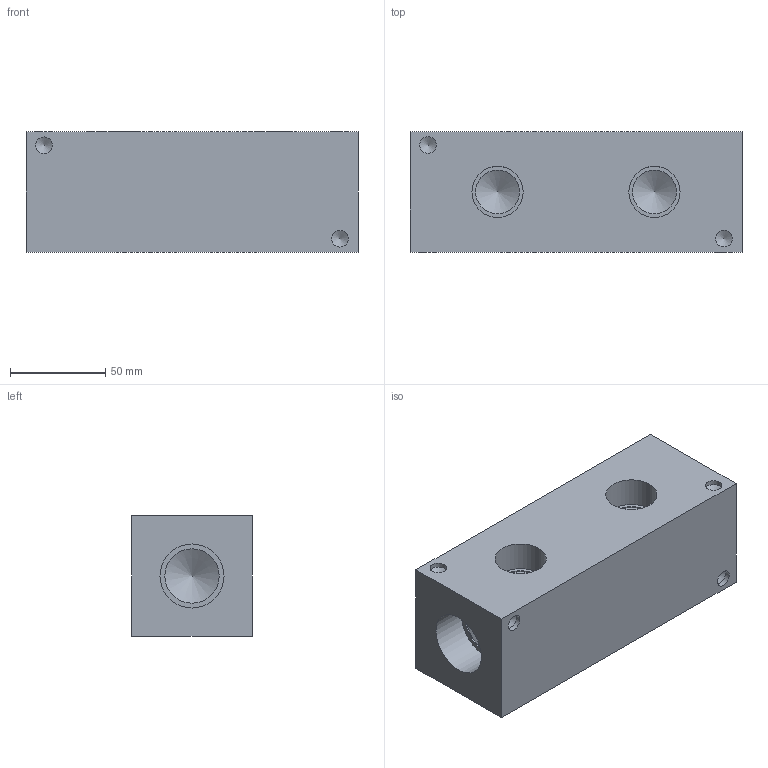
import cadquery as cq
import math

LENGTH = 174.62
WIDTH = 63.5
HEIGHT = 63.5

PORT_SPACING = 82.55
TOP_BORE_DIAMETER = 26.92
TOP_BORE_DEPTH = 15.875
TOP_DRILL_DIAMETER = 23.01
TOP_DRILL_DEPTH = 16.5
END_BORE_DIAMETER = 33.71
END_BORE_DEPTH = 19.05
END_DRILL_DIAMETER = 28.57
END_DRILL_DEPTH = 19.8

MOUNT_DIAMETER = 8.74
MOUNT_DEPTH = 2.54
MOUNT_END_OFFSET = 9.525
MOUNT_EDGE_OFFSET = 7.14

DRILL_POINT_ANGLE = 120.0

X_AXIS = cq.Vector(1, 0, 0)
Y_AXIS = cq.Vector(0, 1, 0)
DOWN = cq.Vector(0, 0, -1)


def drilled_hole(center, direction, diameter, depth):
    """Cylinder with a conical drill point; depth is measured to the full diameter."""
    radius = diameter / 2
    point_length = radius / math.tan(math.radians(DRILL_POINT_ANGLE / 2))
    start = cq.Vector(*center)
    shaft = cq.Solid.makeCylinder(radius, depth, start, direction)
    point = cq.Solid.makeCone(radius, 0, point_length, start + direction * depth, direction)
    return shaft.fuse(point)


def port(center, direction, bore_diameter, bore_depth, drill_diameter, drill_depth):
    """Flat-shouldered bore followed by a narrower drilled hole."""
    bore = cq.Solid.makeCylinder(bore_diameter / 2, bore_depth, cq.Vector(*center), direction)
    return bore.fuse(drilled_hole(center, direction, drill_diameter, drill_depth))


def cut_top_ports(body):
    for side in (-1, 1):
        center = (LENGTH / 2 + side * PORT_SPACING / 2, WIDTH / 2, HEIGHT)
        body = body.cut(
            port(center, DOWN, TOP_BORE_DIAMETER, TOP_BORE_DEPTH, TOP_DRILL_DIAMETER, TOP_DRILL_DEPTH)
        )
    return body


def cut_end_port(body):
    center = (0, WIDTH / 2, HEIGHT / 2)
    return body.cut(
        port(center, X_AXIS, END_BORE_DIAMETER, END_BORE_DEPTH, END_DRILL_DIAMETER, END_DRILL_DEPTH)
    )


def cut_mounting_holes(body):
    left = MOUNT_END_OFFSET
    right = LENGTH - MOUNT_END_OFFSET
    holes = (
        ((left, WIDTH - MOUNT_EDGE_OFFSET, HEIGHT), DOWN),
        ((right, MOUNT_EDGE_OFFSET, HEIGHT), DOWN),
        ((left, 0, HEIGHT - MOUNT_EDGE_OFFSET), Y_AXIS),
        ((right, 0, MOUNT_EDGE_OFFSET), Y_AXIS),
    )
    for center, direction in holes:
        body = body.cut(drilled_hole(center, direction, MOUNT_DIAMETER, MOUNT_DEPTH))
    return body


block = cq.Workplane("XY").box(LENGTH, WIDTH, HEIGHT, centered=False)
result = cut_mounting_holes(cut_end_port(cut_top_ports(block)))